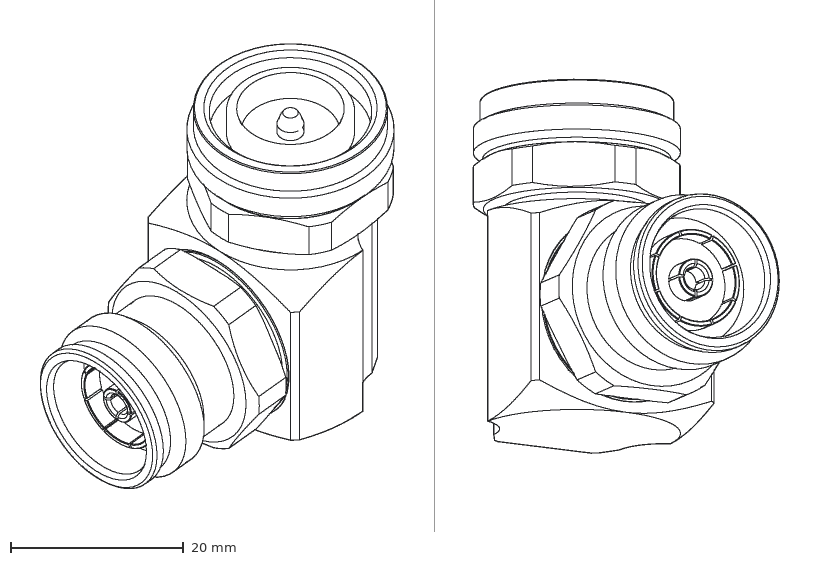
import cadquery as cq
import math


HALF_WIDTH = 12.0
BLOCK_BOTTOM = -12.35
BLOCK_TOP = 12.7
BLOCK_BACK = 8.8
FRONT_CORNER_CHAMFER = 0.7
SIDE_END_Y = -0.55
SCALLOP_RADIUS = 6.0
WAIST_HALF_WIDTH = 8.25
WAIST_Y = 5.0
FACET_END_Y = 7.5
FIRST_FACET_ANGLE = 30
SECOND_FACET_ANGLE = 60
CORNER_CONE_ANGLE = 30
BACK_CHAMFER_HEIGHT = 1.1
BACK_CHAMFER_DEPTH = 0.9

NUT_ACROSS_FLATS = 22.0
NUT_RADIUS = HALF_WIDTH

PLUG_TOP = 27.1
PLUG_NECK_RADIUS = 8.5
PLUG_NUT_BOTTOM = 14.3
PLUG_NUT_TOP = 19.75
PLUG_NUT_LOWER_BEVEL = (1.15, 0.6)
PLUG_NUT_UPPER_BEVEL = (1.05, 0.5)
PLUG_GROOVE_RADIUS = 10.9
PLUG_GROOVE_TOP = 20.25
PLUG_COLLAR_BOTTOM = 21.0
PLUG_COLLAR_TOP = 23.85
PLUG_SHOULDER_Z = 24.25
PLUG_RIM_RADIUS = 11.25
PLUG_RIM_CHAMFER = 0.15
PLUG_FLOOR = 23.45
PLUG_BORE_RADIUS = 9.4
PLUG_MOUTH_CHAMFER = 0.63

RING_TOP = 27.05
RING_OUTER_RADIUS = 7.45
RING_INNER_RADIUS = 6.2
RING_FLOOR_RADIUS = 5.75
RING_STEP_HEIGHT = 0.7
RING_BORE_BULGE = 0.15
RING_OUTER_FILLET = 0.5
PIN_RADIUS = 1.55
PIN_TIP_RADIUS = 0.9
PIN_SHOULDER_Z = 24.7
PIN_TOP = 26.35
PIN_BULGE = 0.1

OVERALL_LENGTH = 44.75
SOCKET_END = OVERALL_LENGTH - HALF_WIDTH
SOCKET_NECK_RADIUS = 10.02
SOCKET_NUT_START = 13.3
SOCKET_NUT_END = 18.85
SOCKET_NUT_INNER_BEVEL = (0.7, 0.2)
SOCKET_NUT_OUTER_BEVEL = (1.35, 0.8)
BARREL_RADIUS = 8.73
BULGE_RADIUS = 10.02
BULGE_RISE_START = 23.9
BULGE_START = 25.25
BULGE_END = 28.33
BULGE_FALL_END = 29.55
LIP_START = 31.32
LIP_RADIUS = 9.25
LIP_CHAMFER = 0.35
SOCKET_BORE_RADIUS = 7.6
SOCKET_MOUTH_WIDENING = 0.3
SOCKET_MOUTH_DEPTH = 0.85
SOCKET_FLOOR = 26.75

FACE_GROOVE_RADII = (11.05, 10.75)
FACE_GROOVE_DEPTH = 0.22

CONTACT_END = 29.3
OUTER_CONTACT_RADII = (5.75, 5.15)
OUTER_CONTACT_SLOTS = 8
INNER_CONTACT_RADII = (2.25, 1.35)
INNER_CONTACT_SLOTS = 4
SLOT_WIDTH = 0.25
CONTACT_CHAMFER = 0.1
INNER_CONTACT_LEAD_IN = 0.35


def revolve_z(points):
    """Closed (radius, height) outline turned about the Z axis."""
    return cq.Workplane("XZ").polyline(points).close().revolve(360, (0, 0), (0, 1))


def hex_nut(bottom, top, lower_bevel, upper_bevel):
    """Nut along Z with its corners on the X axis and turned bevels on both ends."""
    blank = revolve_z([
        (0, bottom),
        (NUT_RADIUS - lower_bevel[0], bottom),
        (NUT_RADIUS, bottom + lower_bevel[1]),
        (NUT_RADIUS, top - upper_bevel[1]),
        (NUT_RADIUS - upper_bevel[0], top),
        (0, top),
    ])
    across_corners = NUT_ACROSS_FLATS / math.cos(math.pi / 6)
    prism = cq.Workplane("XY").workplane(offset=bottom).polygon(6, across_corners).extrude(top - bottom)
    return blank.intersect(prism)


def make_block():
    facet_half_width = WAIST_HALF_WIDTH - (FACET_END_Y - WAIST_Y) * math.tan(math.radians(FIRST_FACET_ANGLE))
    back_half_width = facet_half_width - (BLOCK_BACK - FACET_END_Y) * math.tan(math.radians(SECOND_FACET_ANGLE))
    front = -HALF_WIDTH
    block = (
        cq.Workplane("XY").workplane(offset=BLOCK_BOTTOM)
        .moveTo(HALF_WIDTH - FRONT_CORNER_CHAMFER, front)
        .lineTo(HALF_WIDTH, front + FRONT_CORNER_CHAMFER)
        .lineTo(HALF_WIDTH, SIDE_END_Y)
        .radiusArc((WAIST_HALF_WIDTH, WAIST_Y), SCALLOP_RADIUS)
        .lineTo(facet_half_width, FACET_END_Y)
        .lineTo(back_half_width, BLOCK_BACK)
        .lineTo(-back_half_width, BLOCK_BACK)
        .lineTo(-facet_half_width, FACET_END_Y)
        .lineTo(-WAIST_HALF_WIDTH, WAIST_Y)
        .radiusArc((-HALF_WIDTH, SIDE_END_Y), SCALLOP_RADIUS)
        .lineTo(-HALF_WIDTH, front + FRONT_CORNER_CHAMFER)
        .lineTo(-HALF_WIDTH + FRONT_CORNER_CHAMFER, front)
        .close()
        .extrude(BLOCK_TOP - BLOCK_BOTTOM)
    )

    reach = 1.5 * HALF_WIDTH
    drop = (reach - HALF_WIDTH) * math.tan(math.radians(CORNER_CONE_ANGLE))
    bevel_envelope = revolve_z([
        (0, BLOCK_BOTTOM),
        (HALF_WIDTH, BLOCK_BOTTOM),
        (reach, BLOCK_BOTTOM + drop),
        (reach, BLOCK_TOP - drop),
        (HALF_WIDTH, BLOCK_TOP),
        (0, BLOCK_TOP),
    ])
    back_wedge = (
        cq.Workplane("YZ")
        .moveTo(BLOCK_BACK, BLOCK_BOTTOM)
        .lineTo(BLOCK_BACK, BLOCK_BOTTOM + BACK_CHAMFER_HEIGHT)
        .lineTo(BLOCK_BACK - BACK_CHAMFER_DEPTH, BLOCK_BOTTOM)
        .close()
        .extrude(HALF_WIDTH, both=True)
    )
    outer, inner = FACE_GROOVE_RADII
    face_groove = (
        cq.Workplane("XZ").workplane(offset=HALF_WIDTH - FACE_GROOVE_DEPTH)
        .circle(outer)
        .circle(inner)
        .extrude(FACE_GROOVE_DEPTH)
    )
    return block.intersect(bevel_envelope).cut(back_wedge).cut(face_groove)


def make_plug():
    shell = revolve_z([
        (0, 0),
        (PLUG_NECK_RADIUS, 0),
        (PLUG_NECK_RADIUS, PLUG_NUT_TOP - PLUG_NUT_UPPER_BEVEL[1]),
        (PLUG_GROOVE_RADIUS, PLUG_NUT_TOP - PLUG_NUT_UPPER_BEVEL[1]),
        (PLUG_GROOVE_RADIUS, PLUG_GROOVE_TOP),
        (HALF_WIDTH, PLUG_COLLAR_BOTTOM),
        (HALF_WIDTH, PLUG_COLLAR_TOP),
        (PLUG_RIM_RADIUS, PLUG_SHOULDER_Z),
        (PLUG_RIM_RADIUS, PLUG_TOP - PLUG_RIM_CHAMFER),
        (PLUG_RIM_RADIUS - PLUG_RIM_CHAMFER, PLUG_TOP),
        (PLUG_BORE_RADIUS + PLUG_MOUTH_CHAMFER, PLUG_TOP),
        (PLUG_BORE_RADIUS, PLUG_TOP - PLUG_MOUTH_CHAMFER),
        (PLUG_BORE_RADIUS, PLUG_FLOOR),
        (0, PLUG_FLOOR),
    ])
    nut = hex_nut(PLUG_NUT_BOTTOM, PLUG_NUT_TOP, PLUG_NUT_LOWER_BEVEL, PLUG_NUT_UPPER_BEVEL)
    nut = nut.rotate((0, 0, 0), (0, 0, 1), 90)
    return shell.union(nut).union(make_plug_ring()).union(make_pin())


def make_plug_ring():
    flare_bottom = PLUG_FLOOR + RING_STEP_HEIGHT
    flare_mid = ((RING_INNER_RADIUS + RING_FLOOR_RADIUS) / 2 - RING_BORE_BULGE, (RING_TOP + flare_bottom) / 2)
    fillet_mid = RING_OUTER_FILLET * (1 - math.sqrt(0.5))
    return (
        cq.Workplane("XZ")
        .moveTo(RING_FLOOR_RADIUS, PLUG_FLOOR)
        .lineTo(RING_OUTER_RADIUS, PLUG_FLOOR)
        .lineTo(RING_OUTER_RADIUS, RING_TOP - RING_OUTER_FILLET)
        .threePointArc(
            (RING_OUTER_RADIUS - fillet_mid, RING_TOP - fillet_mid),
            (RING_OUTER_RADIUS - RING_OUTER_FILLET, RING_TOP),
        )
        .lineTo(RING_INNER_RADIUS, RING_TOP)
        .threePointArc(flare_mid, (RING_FLOOR_RADIUS, flare_bottom))
        .close()
        .revolve(360, (0, 0), (0, 1))
    )


def make_pin():
    nose_mid = ((PIN_RADIUS + PIN_TIP_RADIUS) / 2 + PIN_BULGE, (PIN_SHOULDER_Z + PIN_TOP) / 2)
    return (
        cq.Workplane("XZ")
        .moveTo(0, PLUG_FLOOR)
        .lineTo(PIN_RADIUS, PLUG_FLOOR)
        .lineTo(PIN_RADIUS, PIN_SHOULDER_Z)
        .threePointArc(nose_mid, (PIN_TIP_RADIUS, PIN_TOP))
        .lineTo(0, PIN_TOP)
        .close()
        .revolve(360, (0, 0), (0, 1))
    )


def slotted_contact(radii, lead_in, slot_count, first_angle):
    """Spring contact along Z: a tube split by radial slots, its bore widened by a lead-in at the tip."""
    outer, inner = radii
    tube = revolve_z([
        (inner, SOCKET_FLOOR),
        (outer, SOCKET_FLOOR),
        (outer, CONTACT_END - CONTACT_CHAMFER),
        (outer - CONTACT_CHAMFER, CONTACT_END),
        (inner + lead_in, CONTACT_END),
        (inner, CONTACT_END - lead_in),
    ])
    height = CONTACT_END - SOCKET_FLOOR
    for index in range(slot_count):
        slot = (
            cq.Workplane("XY").workplane(offset=SOCKET_FLOOR)
            .center(outer / 2, 0)
            .rect(outer + 2 * SLOT_WIDTH, SLOT_WIDTH)
            .extrude(height)
            .rotate((0, 0, 0), (0, 0, 1), first_angle + 360 * index / slot_count)
        )
        tube = tube.cut(slot)
    return tube


def make_socket():
    """Socket built along Z, then laid down to point along -Y."""
    shell = revolve_z([
        (0, 0),
        (SOCKET_NECK_RADIUS, 0),
        (SOCKET_NECK_RADIUS, SOCKET_NUT_START),
        (BARREL_RADIUS, SOCKET_NUT_START),
        (BARREL_RADIUS, BULGE_RISE_START),
        (BULGE_RADIUS, BULGE_START),
        (BULGE_RADIUS, BULGE_END),
        (BARREL_RADIUS, BULGE_FALL_END),
        (BARREL_RADIUS, LIP_START),
        (LIP_RADIUS, LIP_START),
        (LIP_RADIUS, SOCKET_END - LIP_CHAMFER),
        (LIP_RADIUS - LIP_CHAMFER, SOCKET_END),
        (SOCKET_BORE_RADIUS + SOCKET_MOUTH_WIDENING, SOCKET_END),
        (SOCKET_BORE_RADIUS, SOCKET_END - SOCKET_MOUTH_DEPTH),
        (SOCKET_BORE_RADIUS, SOCKET_FLOOR),
        (0, SOCKET_FLOOR),
    ])
    nut = hex_nut(SOCKET_NUT_START, SOCKET_NUT_END, SOCKET_NUT_INNER_BEVEL, SOCKET_NUT_OUTER_BEVEL)
    outer_contact = slotted_contact(
        OUTER_CONTACT_RADII, CONTACT_CHAMFER, OUTER_CONTACT_SLOTS, 180 / OUTER_CONTACT_SLOTS
    )
    inner_contact = slotted_contact(INNER_CONTACT_RADII, INNER_CONTACT_LEAD_IN, INNER_CONTACT_SLOTS, 0)
    socket = shell.union(nut).union(outer_contact).union(inner_contact)
    return socket.rotate((0, 0, 0), (1, 0, 0), 90)


result = make_block().union(make_plug()).union(make_socket())